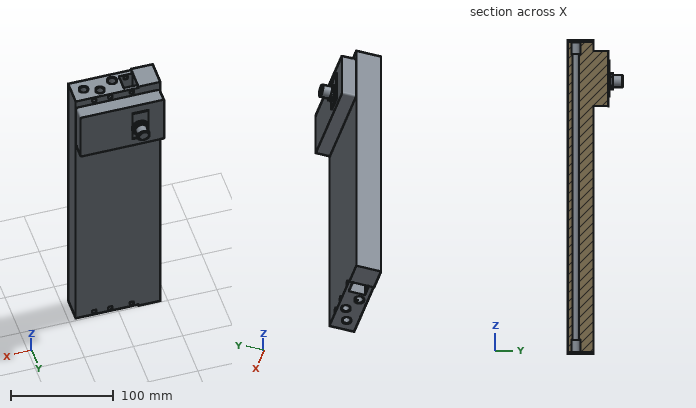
import cadquery as cq

height = 305.0
width = 86.0
total_depth = 53.7
box_depth = 14.3
connector_reach = 14.0
body_depth = total_depth - box_depth - connector_reach
rail_width = 22.3
end_setback = 1.5
main_width = width - rail_width

window_width = 13.7
window_front_wall = 5.0
window_depth = 16.5

ports = [
    (44.0, 8.2, 9.8, 44.5, 8.0, 6.5),
    (59.0, 17.0, 9.0, 59.0, 17.0, 5.8),
    (73.8, 11.5, 9.0, 73.0, 12.0, 6.0),
]
port_depth = 12.2
port_countersink = 0.5

mounting_diameter = 4.3
mounting_xs = [29.0, 51.0, 67.0]
mounting_end_distance = 5.5

box_side_inset = 0.3
box_width = width - 2 * box_side_inset
box_height = 54.0
box_top_distance = 10.5
box_corner_radius = 2.0
box_center_z = height - box_top_distance - box_height / 2

plate_width = 16.2
plate_height = 34.8
plate_thickness = 1.0
plate_center_x = 24.7
connector_x = 25.3
connector_z = height - 40.0
washer_diameter = 16.5
washer_radius = washer_diameter / 2
washer_thickness = 1.0
nut_across_corners = 16.0
nut_thickness = 2.5
barrel_diameter = 12.2
barrel_chamfer = 1.0


def box(x, y, z, size_x, size_y, size_z):
    """Block with its lowest corner at (x, y, z)."""
    return cq.Workplane("XY").box(size_x, size_y, size_z, centered=False).translate((x, y, z))


def back_plane(x, y, z):
    """Sketch plane facing +Y; its local x axis runs along +Z."""
    return cq.Workplane(cq.Plane(origin=(x, y, z), xDir=(0, 0, 1), normal=(0, 1, 0)))


def cylinder(x, y, z, diameter, length):
    """Cylinder along Z; a negative length runs downward."""
    return cq.Workplane("XY", origin=(x, y, z)).circle(diameter / 2).extrude(length)


def cone(x, y, z, start_diameter, end_diameter, length):
    """Truncated cone along Z; a negative length runs downward."""
    return (
        cq.Workplane("XY", origin=(x, y, z))
        .circle(start_diameter / 2)
        .workplane(offset=length)
        .circle(end_diameter / 2)
        .loft()
    )


def make_body():
    rail = box(0, 0, 0, rail_width, body_depth, height)
    main = box(rail_width, 0, end_setback, main_width, body_depth, height - 2 * end_setback)
    window = box(rail_width, window_front_wall, 0, window_width, window_depth, height)
    return rail.union(main).cut(window)


def cut_ports(body):
    lower_end = end_setback
    upper_end = height - end_setback
    for port_x, port_y, mouth_diameter, bore_x, bore_y, bore_diameter in ports:
        port_diameter = mouth_diameter - 2 * port_countersink
        for end_z, inward in ((lower_end, 1), (upper_end, -1)):
            port = cylinder(port_x, port_y, end_z, port_diameter, inward * port_depth)
            mouth = cone(port_x, port_y, end_z, mouth_diameter, port_diameter, inward * port_countersink)
            body = body.cut(port).cut(mouth)
        body = body.cut(cylinder(bore_x, bore_y, 0, bore_diameter, height))
    return body


def cut_mounting_holes(body):
    for x in mounting_xs:
        for z in (mounting_end_distance, height - mounting_end_distance):
            hole = back_plane(x, 0, z).circle(mounting_diameter / 2).extrude(body_depth)
            body = body.cut(hole)
    return body


def make_electronics_box():
    center = back_plane(width / 2, body_depth, box_center_z)
    return center.rect(box_height, box_width).extrude(box_depth).edges("|Y").fillet(box_corner_radius)


def make_connector():
    plate_y = body_depth + box_depth
    washer_y = plate_y + plate_thickness
    nut_y = washer_y + washer_thickness
    barrel_y = nut_y + nut_thickness
    plate = (
        back_plane(plate_center_x, plate_y, box_center_z)
        .rect(plate_height, plate_width)
        .extrude(plate_thickness)
    )
    washer = back_plane(connector_x, washer_y, connector_z).circle(washer_radius).extrude(washer_thickness)
    nut = back_plane(connector_x, nut_y, connector_z).polygon(6, nut_across_corners).extrude(nut_thickness)
    barrel = (
        back_plane(connector_x, barrel_y, connector_z)
        .circle(barrel_diameter / 2)
        .extrude(total_depth - barrel_y)
        .faces(">Y")
        .chamfer(barrel_chamfer)
    )
    return plate.union(washer).union(nut).union(barrel)


body = cut_mounting_holes(cut_ports(make_body()))
result = body.union(make_electronics_box()).union(make_connector())